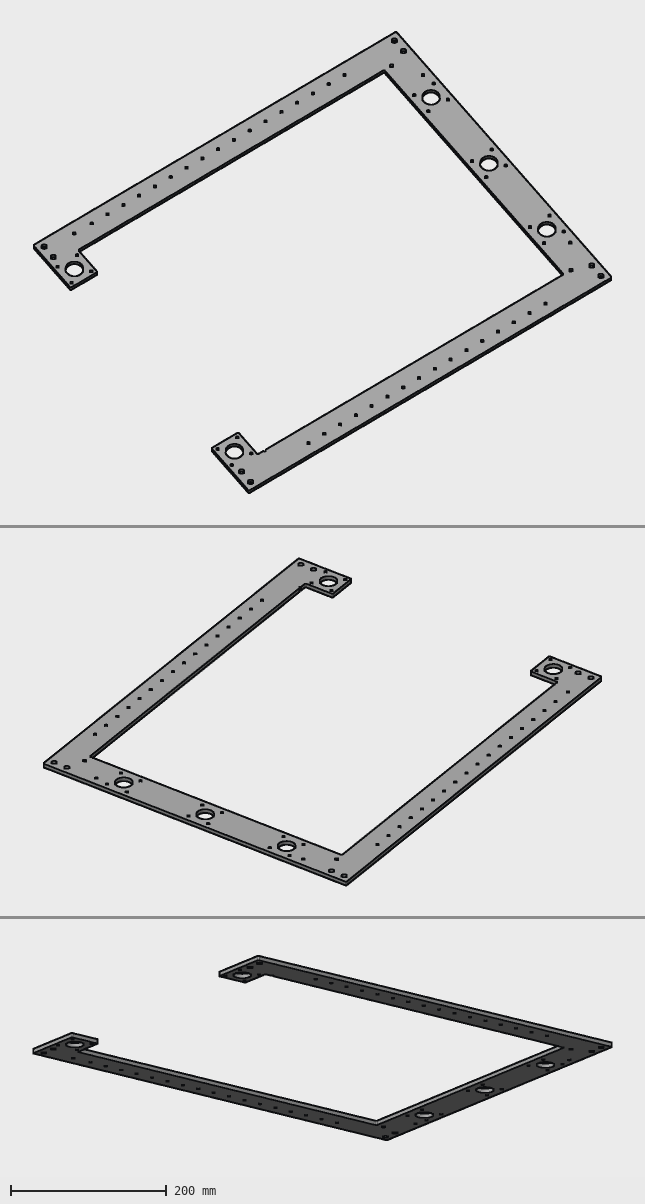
import cadquery as cq

width = 475.0
length = 574.4
thickness = 6.0
half_width = width / 2
half_length = length / 2

top_bar_depth = 47.6
leg_width = 40.0
foot_size = 42.5
corner_radius = 1.5
leg_inner_x = half_width - leg_width
foot_inner_x = leg_inner_x - foot_size
top_bar_lower_y = half_length - top_bar_depth
foot_upper_y = -half_length + foot_size

pilot_diameter = 23.0
motor_screw_diameter = 3.4
motor_screw_pitch = 31.0
top_motor_spacing = 127.55
top_motor_y = half_length - top_bar_depth / 2
foot_motor_x = foot_inner_x + foot_size / 2
foot_motor_y = -half_length + foot_size / 2

corner_bolt_diameter = 7.0
corner_bolt_inset = 10.15
corner_bolt_spacing = 20.0

bar_hole_diameter = 4.5
bar_hole_drop = 36.0

rail_hole_diameter = 3.4
rail_hole_pitch = 25.0
rail_hole_inset = 16.3
rail_start_drop = 93.4
left_rail_count = 17
right_rail_count = 16

accessory_diameter = 3.6
bar_accessory_x = 162.1
bar_accessory_drop = 11.6
leg_accessory_y = -233.7
left_accessory_x = -221.7


def make_frame():
    """Inverted-U plate with feet turned inwards and every corner rounded."""
    outline = [
        (-half_width, -half_length),
        (-foot_inner_x, -half_length),
        (-foot_inner_x, foot_upper_y),
        (-leg_inner_x, foot_upper_y),
        (-leg_inner_x, top_bar_lower_y),
        (leg_inner_x, top_bar_lower_y),
        (leg_inner_x, foot_upper_y),
        (foot_inner_x, foot_upper_y),
        (foot_inner_x, -half_length),
        (half_width, -half_length),
        (half_width, half_length),
        (-half_width, half_length),
    ]
    plate = cq.Workplane("XY").polyline(outline).close().extrude(thickness)
    return plate.edges("|Z").fillet(corner_radius)


def drill(body, points, diameter):
    """Cut a through hole of the given diameter at every point."""
    pins = cq.Workplane("XY").pushPoints(points).circle(diameter / 2).extrude(thickness)
    return body.cut(pins)


def cut_motor_mount(body, x, y):
    offset = motor_screw_pitch / 2
    screws = [(x + i * offset, y + j * offset) for i in (-1, 1) for j in (-1, 1)]
    body = drill(body, [(x, y)], pilot_diameter)
    return drill(body, screws, motor_screw_diameter)


def cut_motor_mounts(body):
    for x in (-top_motor_spacing, 0, top_motor_spacing):
        body = cut_motor_mount(body, x, top_motor_y)
    for x in (-foot_motor_x, foot_motor_x):
        body = cut_motor_mount(body, x, foot_motor_y)
    return body


def cut_corner_bolts(body):
    outer_x = half_width - corner_bolt_inset
    bolt_y = half_length - corner_bolt_inset
    points = [
        (side * x, end * bolt_y)
        for side in (-1, 1)
        for end in (-1, 1)
        for x in (outer_x, outer_x - corner_bolt_spacing)
    ]
    return drill(body, points, corner_bolt_diameter)


def cut_bar_holes(body):
    y = half_length - bar_hole_drop
    return drill(body, [(-leg_inner_x, y), (leg_inner_x, y)], bar_hole_diameter)


def cut_rail_holes(body):
    start_y = half_length - rail_start_drop
    rail_x = half_width - rail_hole_inset
    for x, count in ((-rail_x, left_rail_count), (rail_x, right_rail_count)):
        points = [(x, start_y - i * rail_hole_pitch) for i in range(count)]
        body = drill(body, points, rail_hole_diameter)
    return body


def cut_accessory_holes(body):
    bar_y = half_length - bar_accessory_drop
    points = [
        (-bar_accessory_x, bar_y),
        (bar_accessory_x, bar_y),
        (left_accessory_x, leg_accessory_y),
        (leg_inner_x, leg_accessory_y),
    ]
    return drill(body, points, accessory_diameter)


result = make_frame()
result = cut_motor_mounts(result)
result = cut_corner_bolts(result)
result = cut_bar_holes(result)
result = cut_rail_holes(result)
result = cut_accessory_holes(result)